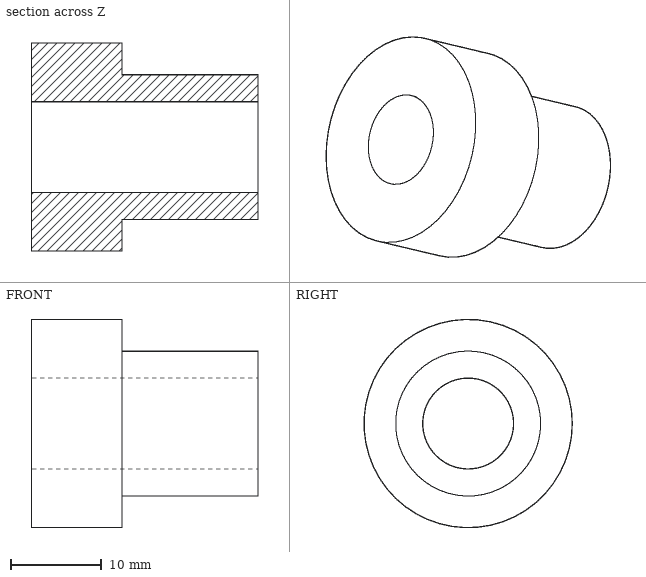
import cadquery as cq

flange_diameter = 23.0
flange_length = 10.0
sleeve_diameter = 16.0
sleeve_length = 15.0
bore_diameter = 10.0

total_length = flange_length + sleeve_length


def cylinder_along_x(diameter, length):
    """Solid cylinder on the X axis, starting at the flange's outer face (X = 0)."""
    return cq.Workplane("YZ").circle(diameter / 2).extrude(length)


flange = cylinder_along_x(flange_diameter, flange_length)
sleeve = cylinder_along_x(sleeve_diameter, total_length)
bore = cylinder_along_x(bore_diameter, total_length)

result = flange.union(sleeve).cut(bore)